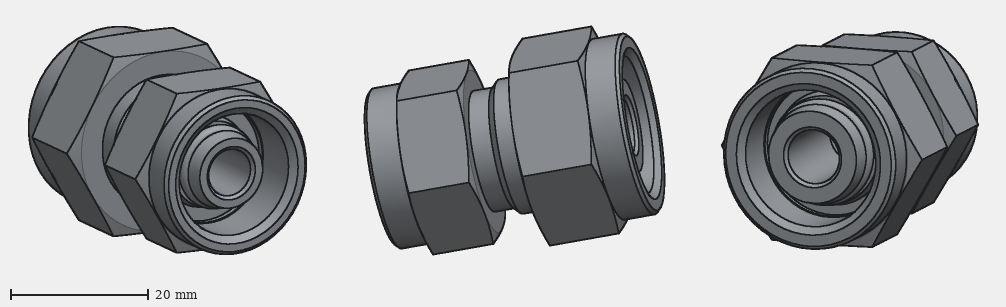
import cadquery as cq
import math

LENGTH = 38.8
CONE_HALF_ANGLE = math.radians(12.0)

COLLAR_LENGTH = 5.0
COLLAR_CHAMFER = 0.5
HEX_CHAMFER_ANGLE = math.radians(15.0)
MOUTH_DEPTH = 0.9
THREAD_END = 8.45
LARGE_NUT_LENGTH = 16.5
LARGE_NUT_FLATS = 27.0
LARGE_COLLAR_RADIUS = 13.4
SMALL_NUT_LENGTH = 15.05
SMALL_NUT_FLATS = 24.0
SMALL_COLLAR_RADIUS = 11.87
MOUTH_FLARE = 1.1
THREAD_RELIEF = 0.15

STEM_RECESS = 1.65
SHOULDER_DEPTH = 9.5
LARGE_RADIUS = 9.97
LARGE_CONE_BASE_RADIUS = 8.5
SMALL_RADIUS = 8.95
SMALL_CONE_BASE_RADIUS = 6.9
SHANK_STEP = 19.7
SHANK_TAPER = LARGE_RADIUS - SMALL_RADIUS

GROOVE_START = 4.23
GROOVE_END = 7.45
GROOVE_DEPTH = 1.47
BEAD_SECTION_RADIUS = 1.0
BEAD_DROP = 0.2

LARGE_BORE_RADIUS = 4.0
SMALL_BORE_RADIUS = 3.5
BORE_CHAMFER = 0.5
LARGE_BORE_END = 19.4
DRILL_HALF_ANGLE = math.radians(59.0)


def revolve_about_x(points):
    """Revolve a closed (x, radius) outline about the X axis."""
    return cq.Workplane("XY").polyline(points).close().revolve(360, (0, 0, 0), (1, 0, 0))


def mirror_to_right_end(shape):
    """Turn a shape built at the left end into its place at the right end."""
    return shape.mirror("YZ").translate((LENGTH, 0, 0))


def chamfered_hex(flats, start, end):
    """Hexagon with flats up and down, its corners turned off conically at both ends."""
    flat_radius = flats / 2
    corner_radius = flat_radius / math.cos(math.pi / 6)
    setback = (corner_radius - flat_radius) * math.tan(HEX_CHAMFER_ANGLE)
    prism = cq.Workplane("YZ", origin=(start, 0, 0)).polygon(6, 2 * corner_radius).extrude(end - start)
    envelope = revolve_about_x([
        (start, 0),
        (start, flat_radius),
        (start + setback, corner_radius),
        (end - setback, corner_radius),
        (end, flat_radius),
        (end, 0),
    ])
    return prism.intersect(envelope)


def make_nut(length, flats, collar_radius, shank_radius):
    """Nut with its open end at X = 0; its rear bore fits the body shank."""
    thread_radius = shank_radius + THREAD_RELIEF
    collar = revolve_about_x([
        (0, 0),
        (0, collar_radius - COLLAR_CHAMFER),
        (COLLAR_CHAMFER, collar_radius),
        (COLLAR_LENGTH, collar_radius),
        (COLLAR_LENGTH, 0),
    ])
    cavity = revolve_about_x([
        (0, 0),
        (0, thread_radius + MOUTH_FLARE),
        (MOUTH_DEPTH, thread_radius),
        (THREAD_END, thread_radius),
        (THREAD_END, shank_radius),
        (length, shank_radius),
        (length, 0),
    ])
    return collar.union(chamfered_hex(flats, COLLAR_LENGTH, length)).cut(cavity)


def make_cone_stem(base_radius):
    """Tapered stem at the left end, with a round bead in a groove around it."""
    def cone_radius(depth):
        return base_radius - (SHOULDER_DEPTH - depth) * math.tan(CONE_HALF_ANGLE)

    cone = revolve_about_x([
        (STEM_RECESS, 0),
        (STEM_RECESS, cone_radius(STEM_RECESS)),
        (SHOULDER_DEPTH, base_radius),
        (SHOULDER_DEPTH, 0),
    ])
    rear_edge_radius = cone_radius(GROOVE_END)
    floor_radius = rear_edge_radius - BEAD_DROP - GROOVE_DEPTH
    groove = revolve_about_x([
        (GROOVE_START, floor_radius),
        (GROOVE_START, rear_edge_radius),
        (GROOVE_END, rear_edge_radius),
        (GROOVE_END, floor_radius),
    ])
    bead_ring_radius = rear_edge_radius - BEAD_DROP - BEAD_SECTION_RADIUS
    bead = (
        cq.Workplane("XY")
        .center((GROOVE_START + GROOVE_END) / 2, bead_ring_radius)
        .circle(BEAD_SECTION_RADIUS)
        .revolve(360, (0, -bead_ring_radius, 0), (1, -bead_ring_radius, 0))
    )
    return cone.cut(groove).union(bead)


def make_bore():
    """Stepped through bore, chamfered at both mouths, with a drill-point step."""
    left = STEM_RECESS
    right = LENGTH - STEM_RECESS
    drill_point = (LARGE_BORE_RADIUS - SMALL_BORE_RADIUS) / math.tan(DRILL_HALF_ANGLE)
    return revolve_about_x([
        (left, 0),
        (left, LARGE_BORE_RADIUS + BORE_CHAMFER),
        (left + BORE_CHAMFER, LARGE_BORE_RADIUS),
        (LARGE_BORE_END, LARGE_BORE_RADIUS),
        (LARGE_BORE_END + drill_point, SMALL_BORE_RADIUS),
        (right - BORE_CHAMFER, SMALL_BORE_RADIUS),
        (right, SMALL_BORE_RADIUS + BORE_CHAMFER),
        (right, 0),
    ])


def make_body():
    """Stepped shank with a cone stem on each end and a bore right through."""
    taper_end = SHANK_STEP + SHANK_TAPER
    shank = revolve_about_x([
        (SHOULDER_DEPTH, 0),
        (SHOULDER_DEPTH, LARGE_RADIUS),
        (SHANK_STEP, LARGE_RADIUS),
        (taper_end, SMALL_RADIUS),
        (LENGTH - SHOULDER_DEPTH, SMALL_RADIUS),
        (LENGTH - SHOULDER_DEPTH, 0),
    ])
    left_stem = make_cone_stem(LARGE_CONE_BASE_RADIUS)
    right_stem = mirror_to_right_end(make_cone_stem(SMALL_CONE_BASE_RADIUS))
    return shank.union(left_stem).union(right_stem).cut(make_bore())


body = make_body()
large_nut = make_nut(LARGE_NUT_LENGTH, LARGE_NUT_FLATS, LARGE_COLLAR_RADIUS, LARGE_RADIUS)
small_nut = mirror_to_right_end(
    make_nut(SMALL_NUT_LENGTH, SMALL_NUT_FLATS, SMALL_COLLAR_RADIUS, SMALL_RADIUS)
)
result = cq.Compound.makeCompound([
    body.solids().val(),
    large_nut.solids().val(),
    small_nut.solids().val(),
])